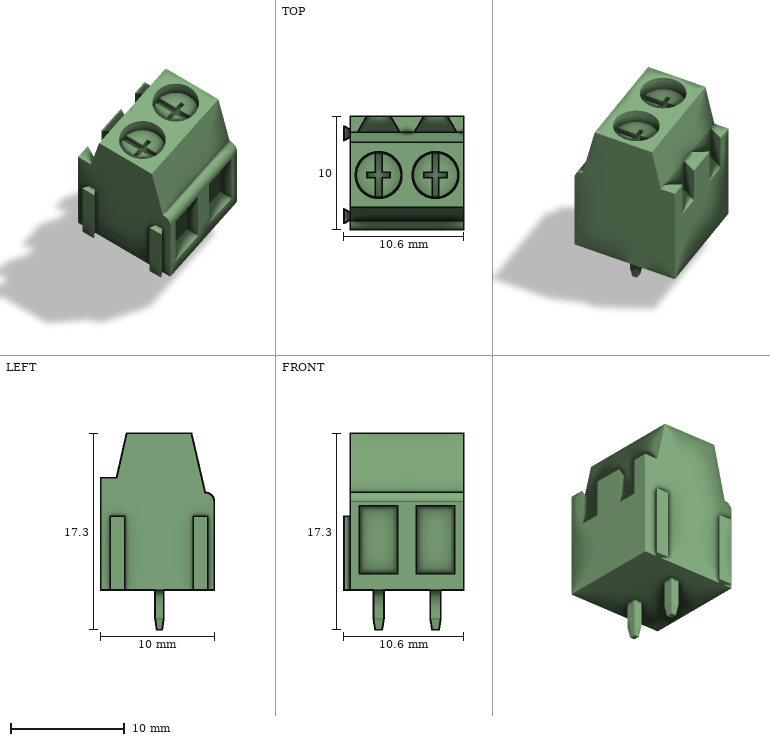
import cadquery as cq
import math


POLE_COUNT = 2
POLE_PITCH = 5.0
POLE_Y = 4.83
POLE_XS = [(i + 0.5) * POLE_PITCH for i in range(POLE_COUNT)]

HOUSING_LENGTH = POLE_COUNT * POLE_PITCH
HOUSING_DEPTH = 10.0
HOUSING_HEIGHT = 13.8
LEDGE_DEPTH = 1.4
LEDGE_HEIGHT = 9.9
TOP_FRONT_Y = 2.0
TOP_BACK_Y = 7.72
NOSE_RADIUS = 0.8
NOSE_HEIGHT = 8.6

DOVETAIL_FLARE = math.tan(math.radians(30))
TONGUE_YS = [1.21, 8.5]
TONGUE_REACH = 0.55
TONGUE_TIP_WIDTH = 1.28
TONGUE_HEIGHT = 6.5
SLOT_MOUTH_WIDTH = 2.08
SLOT_FLOOR_HEIGHT = TONGUE_HEIGHT

ENTRY_WIDTH = 3.39
ENTRY_HEIGHT = 5.97
ENTRY_DEPTH = 1.21
ENTRY_BOTTOM = 1.45

SCREW_DIAMETER = 3.95
SCREW_LENGTH = 2.0
SCREW_RECESS = 1.25
SCREW_CLEARANCE = 0.078
SCREW_HOLE_DIAMETER = SCREW_DIAMETER + 2 * SCREW_CLEARANCE
SCREW_TOP = HOUSING_HEIGHT - SCREW_RECESS
SCREW_BOTTOM = SCREW_TOP - SCREW_LENGTH
DRIVE_DEPTH = 0.6
DRIVE_SLOT_WIDTH = 0.6
CROSS_SLOT_LENGTH = 2.08
CROSS_SLOT_WIDTH = 0.45

PIN_WIDTH = 0.95
PIN_THICKNESS = 0.78
PIN_LENGTH = 3.5
PIN_TIP_LENGTH = 1.0
PIN_TIP_WIDTH = 0.62
PIN_TIP_THICKNESS = 0.48


def housing_block():
    """Side profile with sloped shoulders, extruded along the row of poles."""
    nose_middle = NOSE_RADIUS * (1 - math.sqrt(0.5))
    return (
        cq.Workplane("YZ")
        .moveTo(0, 0)
        .lineTo(0, NOSE_HEIGHT - NOSE_RADIUS)
        .threePointArc((nose_middle, NOSE_HEIGHT - nose_middle), (NOSE_RADIUS, NOSE_HEIGHT))
        .lineTo(TOP_FRONT_Y, HOUSING_HEIGHT)
        .lineTo(TOP_BACK_Y, HOUSING_HEIGHT)
        .lineTo(HOUSING_DEPTH - LEDGE_DEPTH, LEDGE_HEIGHT)
        .lineTo(HOUSING_DEPTH, LEDGE_HEIGHT)
        .lineTo(HOUSING_DEPTH, 0)
        .close()
        .extrude(HOUSING_LENGTH)
    )


def side_tongue(center_y):
    """Dovetail rib on the -X side, widest at its outer face."""
    tip = TONGUE_TIP_WIDTH / 2
    root = tip - TONGUE_REACH * DOVETAIL_FLARE
    return (
        cq.Workplane("XY")
        .moveTo(0, center_y - root)
        .lineTo(-TONGUE_REACH, center_y - tip)
        .lineTo(-TONGUE_REACH, center_y + tip)
        .lineTo(0, center_y + root)
        .close()
        .extrude(TONGUE_HEIGHT)
    )


def back_slot(center_x):
    """Dovetail slot in the back face, widest at its inner wall and open through the ledge."""
    mouth = SLOT_MOUTH_WIDTH / 2
    inner = mouth + LEDGE_DEPTH * DOVETAIL_FLARE
    inner_y = HOUSING_DEPTH - LEDGE_DEPTH
    return (
        cq.Workplane("XY", origin=(0, 0, SLOT_FLOOR_HEIGHT))
        .moveTo(center_x - mouth, HOUSING_DEPTH)
        .lineTo(center_x - inner, inner_y)
        .lineTo(center_x + inner, inner_y)
        .lineTo(center_x + mouth, HOUSING_DEPTH)
        .close()
        .extrude(LEDGE_HEIGHT - SLOT_FLOOR_HEIGHT)
    )


def wire_entry(center_x):
    """Rectangular pocket in the front face."""
    return cq.Workplane("XY").box(
        ENTRY_WIDTH, ENTRY_DEPTH, ENTRY_HEIGHT, centered=(True, False, False)
    ).translate((center_x, 0, ENTRY_BOTTOM))


def screw_hole(center_x):
    """Blind hole from the top face, its floor carrying the screw."""
    return (
        cq.Workplane("XY", origin=(center_x, POLE_Y, SCREW_BOTTOM))
        .circle(SCREW_HOLE_DIAMETER / 2)
        .extrude(HOUSING_HEIGHT - SCREW_BOTTOM)
    )


def make_housing():
    body = housing_block()
    for center_y in TONGUE_YS:
        body = body.union(side_tongue(center_y))
    for center_x in POLE_XS:
        body = body.cut(back_slot(center_x))
        body = body.cut(wire_entry(center_x))
        body = body.cut(screw_hole(center_x))
    return body


def make_screw(center_x):
    """Cylinder with a full-width slot and a short cross slot in its top."""
    top = cq.Workplane("XY", origin=(center_x, POLE_Y, SCREW_TOP))
    main_slot = top.rect(DRIVE_SLOT_WIDTH, SCREW_DIAMETER).extrude(-DRIVE_DEPTH)
    cross_slot = top.rect(CROSS_SLOT_LENGTH, CROSS_SLOT_WIDTH).extrude(-DRIVE_DEPTH)
    blank = top.circle(SCREW_DIAMETER / 2).extrude(-SCREW_LENGTH)
    return blank.cut(main_slot).cut(cross_slot)


def make_pin(center_x):
    """Straight rectangular pin below the housing, ending in a tapered tip."""
    shank_length = PIN_LENGTH - PIN_TIP_LENGTH
    base = cq.Workplane("XY", origin=(center_x, POLE_Y, 0))
    shank = base.rect(PIN_WIDTH, PIN_THICKNESS).extrude(-shank_length)
    tip = (
        base.workplane(offset=-shank_length)
        .rect(PIN_WIDTH, PIN_THICKNESS)
        .workplane(offset=-PIN_TIP_LENGTH)
        .rect(PIN_TIP_WIDTH, PIN_TIP_THICKNESS)
        .loft(ruled=True)
    )
    return shank.union(tip)


housing = make_housing()
screws = [make_screw(center_x) for center_x in POLE_XS]
pins = [make_pin(center_x) for center_x in POLE_XS]

result = cq.Compound.makeCompound([body.val() for body in [housing, *screws, *pins]])